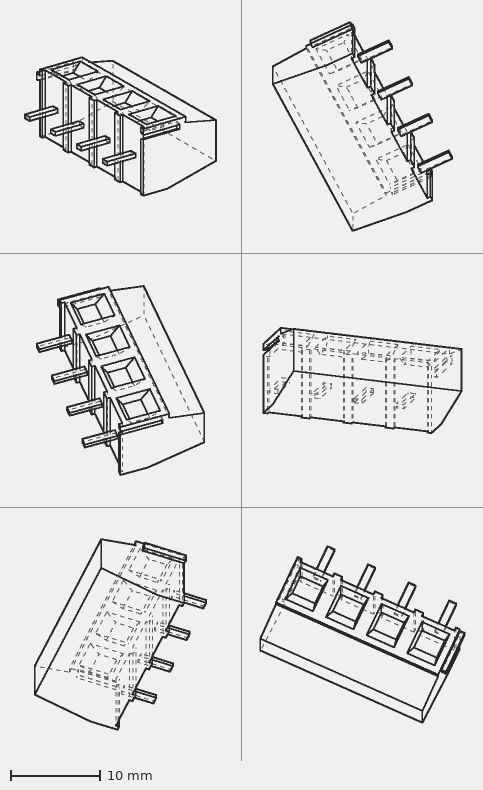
import cadquery as cq


cell_count = 4
housing_width = 20.0
cell_pitch = housing_width / cell_count
housing_depth = 10.0
housing_height = 8.2
deck_depth = 5.8
roof_back_height = 7.5
roof_front_height = 6.7
chin_height = 1.69
base_depth = 3.25

rib_width = 0.99
recess_depth = 0.4

funnel_width = 3.4
funnel_y_min = 1.0
funnel_y_max = 5.0
funnel_floor_width = 2.8
funnel_floor_y_min = 1.67
funnel_floor_y_max = 3.83
funnel_depth = 1.0

pin_width = 0.9
pin_thickness = 0.5
pin_length = 3.5
pin_height = 4.1

overall_width = 20.6
dovetail_projection = overall_width - housing_width
dovetail_length = 5.0
dovetail_height = 7.17
dovetail_outer_width = 0.95
dovetail_neck_width = 0.54

cell_centers = [(i + 0.5) * cell_pitch for i in range(cell_count)]


def block(x_min, x_max, y_min, y_max, z_min, z_max):
    """Axis-aligned box between the given limits."""
    size = (x_max - x_min, y_max - y_min, z_max - z_min)
    return cq.Workplane("XY").box(*size, centered=False).translate((x_min, y_min, z_min))


def housing():
    """Side profile in the YZ plane, extended over all the cells."""
    profile = [
        (0, 0),
        (base_depth, 0),
        (housing_depth, chin_height),
        (housing_depth, roof_front_height),
        (deck_depth, roof_back_height),
        (deck_depth, housing_height),
        (0, housing_height),
    ]
    return cq.Workplane("YZ").polyline(profile).close().extrude(housing_width)


def recess(x_center):
    """Full-height shallow recess between two ribs."""
    half_width = (cell_pitch - rib_width) / 2
    return block(x_center - half_width, x_center + half_width, 0, recess_depth, 0, housing_height)


def funnel(x_center):
    """Rectangular funnel narrowing from the deck to its floor."""
    mouth_y = (funnel_y_min + funnel_y_max) / 2
    floor_y = (funnel_floor_y_min + funnel_floor_y_max) / 2
    return (
        cq.Workplane("XY", origin=(x_center, mouth_y, housing_height))
        .rect(funnel_width, funnel_y_max - funnel_y_min)
        .workplane(offset=-funnel_depth)
        .center(0, floor_y - mouth_y)
        .rect(funnel_floor_width, funnel_floor_y_max - funnel_floor_y_min)
        .loft(ruled=True)
    )


def pin(x_center):
    """Flat pin rooted in the recess floor."""
    return block(
        x_center - pin_width / 2,
        x_center + pin_width / 2,
        -pin_length,
        recess_depth,
        pin_height - pin_thickness / 2,
        pin_height + pin_thickness / 2,
    )


def dovetail(neck_x):
    """Dovetail bar that widens toward -X from its neck."""
    outer_x = neck_x - dovetail_projection
    profile = [
        (neck_x, dovetail_height - dovetail_neck_width / 2),
        (neck_x, dovetail_height + dovetail_neck_width / 2),
        (outer_x, dovetail_height + dovetail_outer_width / 2),
        (outer_x, dovetail_height - dovetail_outer_width / 2),
    ]
    return cq.Workplane("XZ").polyline(profile).close().extrude(-dovetail_length)


result = housing()
for x in cell_centers:
    result = result.cut(recess(x)).cut(funnel(x)).union(pin(x))
result = result.union(dovetail(0)).cut(dovetail(housing_width))